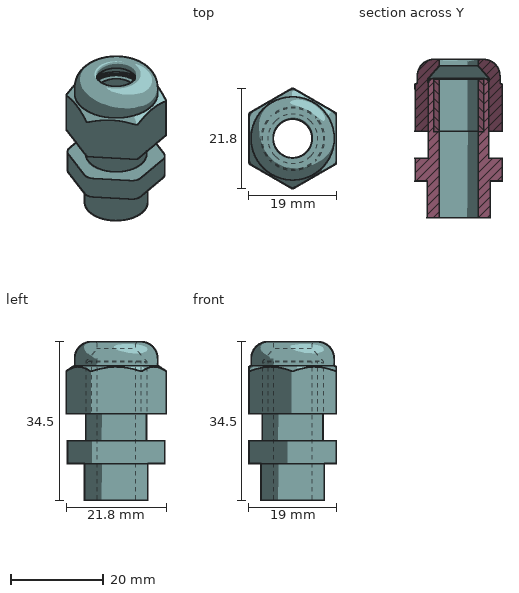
import cadquery as cq
import math


HEX_ACROSS_FLATS = 19.0
HALF_CORNER_ANGLE = 30.0
BORE_RADIUS = 4.2
NECK_RADIUS = 6.65
TOTAL_HEIGHT = 34.5

THREAD_RADIUS = 6.9
THREAD_LENGTH = 8.0
FLANGE_THICKNESS = 5.0
FLANGE_CORNER_RADIUS = 2.3
FLANGE_TOP = THREAD_LENGTH + FLANGE_THICKNESS
NECK_TOP = 30.35
NECK_RIM_RADIUS = 1.2

SEAL_RADIUS = 5.4
SEAL_RECESS = 0.2
SEAL_TOP = NECK_TOP - SEAL_RECESS

CAP_BOTTOM = 18.8
CAP_HEX_TOP = 29.3
CAP_CORNER_RADIUS = 0.5
CAP_BEVEL_ANGLE = 34.0
DOME_RADIUS = 9.05
DOME_ROUND = 3.7
MOUTH_ROUND = 0.5
MOUTH_DEPTH = 1.5
CAVITY_SHOULDER_DEPTH = 4.3

SEAL_BOTTOM = CAP_BOTTOM


def cylinder(radius, bottom, top):
    """Round bar on the Z axis between two heights."""
    return cq.Workplane("XY").workplane(offset=bottom).circle(radius).extrude(top - bottom)


def hex_prism(bottom, top, corner_radius):
    """Hexagon with two flats facing +X and -X and rounded vertical corners."""
    across_corners = HEX_ACROSS_FLATS / math.cos(math.radians(HALF_CORNER_ANGLE))
    prism = (
        cq.Workplane("XY")
        .workplane(offset=bottom)
        .transformed(rotate=(0, 0, HALF_CORNER_ANGLE))
        .polygon(6, across_corners)
        .extrude(top - bottom)
    )
    return prism.edges("|Z").fillet(corner_radius)


def make_body():
    """Threaded spigot, hexagonal flange and round neck, bored through with a seat for the sleeve."""
    spigot = cylinder(THREAD_RADIUS, 0, THREAD_LENGTH)
    flange = hex_prism(THREAD_LENGTH, FLANGE_TOP, FLANGE_CORNER_RADIUS)
    neck = cylinder(NECK_RADIUS, FLANGE_TOP, NECK_TOP).faces(">Z").edges().fillet(NECK_RIM_RADIUS)
    bore = cylinder(BORE_RADIUS, 0, NECK_TOP)
    seat = cylinder(SEAL_RADIUS, SEAL_BOTTOM, NECK_TOP)
    return spigot.union(flange).union(neck).cut(bore).cut(seat)


def make_seal():
    """Plain sleeve that fills the seat and ends just below the neck rim."""
    return cylinder(SEAL_RADIUS, SEAL_BOTTOM, SEAL_TOP).cut(cylinder(BORE_RADIUS, SEAL_BOTTOM, SEAL_TOP))


def cap_bevel_envelope():
    """Solid of revolution whose conical top bevels the corners of the cap hexagon."""
    reach = HEX_ACROSS_FLATS
    cone_drop = (reach - DOME_RADIUS) * math.tan(math.radians(CAP_BEVEL_ANGLE))
    return (
        cq.Workplane("XZ")
        .moveTo(0, CAP_HEX_TOP)
        .lineTo(DOME_RADIUS, CAP_HEX_TOP)
        .lineTo(reach, CAP_HEX_TOP - cone_drop)
        .lineTo(reach, 0)
        .lineTo(0, 0)
        .close()
        .revolve(360, (0, 0), (0, 1))
    )


def cap_cavity():
    """Cavity for the neck, closing in a cone towards the mouth."""
    mouth_bottom = TOTAL_HEIGHT - MOUTH_DEPTH
    shoulder = TOTAL_HEIGHT - CAVITY_SHOULDER_DEPTH
    return (
        cq.Workplane("XZ")
        .moveTo(0, CAP_BOTTOM)
        .lineTo(NECK_RADIUS, CAP_BOTTOM)
        .lineTo(NECK_RADIUS, shoulder)
        .lineTo(BORE_RADIUS, mouth_bottom)
        .lineTo(0, mouth_bottom)
        .close()
        .revolve(360, (0, 0), (0, 1))
    )


def make_cap_nut():
    """Hexagonal nut with a rounded dome, hollowed from below and open at the top."""
    hexagon = hex_prism(CAP_BOTTOM, CAP_HEX_TOP, CAP_CORNER_RADIUS).intersect(cap_bevel_envelope())
    dome = cylinder(DOME_RADIUS, CAP_BOTTOM, TOTAL_HEIGHT).faces(">Z").edges().fillet(DOME_ROUND)
    mouth = cylinder(BORE_RADIUS, CAP_BOTTOM, TOTAL_HEIGHT)
    drilled = hexagon.union(dome).cut(mouth)
    mouth_edge = cq.selectors.RadiusNthSelector(0)
    rounded = drilled.faces(">Z").edges(mouth_edge).fillet(MOUTH_ROUND)
    return rounded.cut(cap_cavity())


body = make_body()
seal = make_seal()
cap_nut = make_cap_nut()

result = cq.Compound.makeCompound([body.val(), seal.val(), cap_nut.val()])